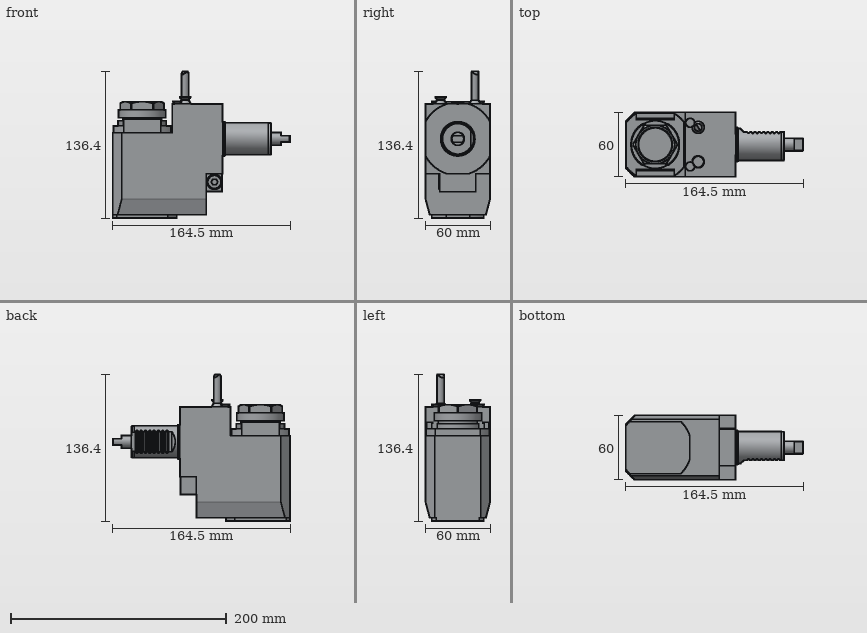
import cadquery as cq
import math


body_width = 60.0
half_width = body_width / 2
foot_height = 3.0
slant_top_z = 17.8
slant_inset = 4.0
deck_z = 79.3
head_top_z = 106.0
head_start_x = 55.1
head_end_x = 101.7
boss_thickness = 0.5
boss_end_x = head_end_x + boss_thickness
lower_end_x = 86.9
head_bottom_z = 41.1
corner_chamfer = 8.5

spindle_x = 27.5
corner_radius = 33.9
foot_end_x = 59.5
foot_half_width = 24.2
flange_half_length = 26.6
flange_half_width = 29.1
flange_height = 6.3
flange_top_z = deck_z + flange_height
rail_half_length = 17.8
rail_top_z = 91.6
rail_inner_y = 23.0
rail_lip_height = 0.8
rail_undercut = 1.3
disc_radius = 22.5
disc_half_width = 19.2
disc_top_z = 90.5
neck_radius = 18.3
collar_radius = 22.0
collar_bottom_z = 93.0
collar_top_z = 100.3
nut_top_z = 107.9
nut_across_flats = 35.9
nut_bevel_height = 1.5
nut_corner_radius = 20.4
bore_radius = 15.5
bore_lip = 0.5
bore_depth = 5.0

shank_z = 73.5
shank_radius = 15.0
shank_flange_radius = 16.0
shank_flange_end_x = 104.3
shank_flange_chamfer = 0.7
shank_end_x = 147.0
shank_nose_length = 2.8
shank_nose_step = 0.2
shank_nose_chamfer = 0.7
rack_flat_y = 11.8
rack_ramp_start_x = 106.5
rack_flat_start_x = 109.5
tooth_count = 8
first_tooth_x = 114.0
last_tooth_x = 142.0
tooth_pitch = (last_tooth_x - first_tooth_x) / (tooth_count - 1)
tooth_depth = 1.5
tooth_half_width = 1.5

tang_radius = 6.1
tang_shoulder_x = 156.3
tang_end_x = 164.5
tang_thickness = 6.1
tang_chamfer = 0.7

block_half_width = 16.8
block_bottom_z = 24.7
screw_x = 94.5
screw_z = 33.5
screw_radius = 6.9
screw_height = 1.0
screw_chamfer = 0.8
socket_across_corners = 6.1
socket_depth = 2.5

fitting_x = 67.3
fitting_y = 16.0
fitting_base_radius = 5.6
fitting_neck_radius = 3.5
fitting_base_top_z = 109.4
plug_cone_start_z = 110.0
plug_radius = 5.1
plug_top_z = 112.5
rim_height = 0.5
pin_top_z = 136.4
pin_roof_drop = 3.3
pin_ridge_angle = -57
small_screw_x = 59.9
small_screw_y = 20.2
small_screw_foot_radius = 2.5
small_screw_radius = 4.1
small_screw_top_z = 108.4


def box(x_range, y_range, z_range):
    """Axis-aligned box between the given (low, high) limits."""
    limits = (x_range, y_range, z_range)
    sizes = [high - low for low, high in limits]
    corner = tuple(low for low, high in limits)
    return cq.Workplane("XY").box(*sizes, centered=False).translate(corner)


def cylinder_z(x, y, radius, z_low, z_high):
    """Vertical cylinder."""
    return cq.Workplane("XY", origin=(x, y, z_low)).circle(radius).extrude(z_high - z_low)


def turned_z(x, y, profile):
    """Vertical turned part whose profile is a list of (radius, z), closed onto its axis."""
    points = [(0, profile[0][1]), *profile, (0, profile[-1][1])]
    outline = cq.Workplane("XZ").polyline(points).close()
    return outline.revolve(360, (0, 0, 0), (0, 1, 0)).translate((x, y, 0))


def turned_x(profile):
    """Turned part on the shank axis whose profile is a list of (x, radius)."""
    points = [(profile[0][0], 0), *profile, (profile[-1][0], 0)]
    outline = cq.Workplane("XZ").polyline(points).close()
    return outline.revolve(360, (0, 0, 0), (1, 0, 0)).translate((0, 0, shank_z))


def make_housing():
    """L-shaped block, narrowed towards the bottom, with bevelled outer corners."""
    section = [
        (half_width - slant_inset, foot_height),
        (half_width, slant_top_z),
        (half_width, deck_z),
        (-half_width, deck_z),
        (-half_width, slant_top_z),
        (-half_width + slant_inset, foot_height),
    ]
    lower = cq.Workplane("YZ").polyline(section).close().extrude(lower_end_x)
    plan = (
        cq.Workplane("XY")
        .rect(2 * lower_end_x, body_width)
        .extrude(deck_z)
        .edges("|Z")
        .chamfer(corner_chamfer)
        .translate((lower_end_x, 0, 0))
    )
    square_end = box((lower_end_x / 2, lower_end_x), (-half_width, half_width), (0, deck_z))
    lower = lower.intersect(plan.union(square_end))
    head = box(
        (head_start_x, head_end_x), (-half_width, half_width), (head_bottom_z, head_top_z)
    )
    return lower.union(head)


def make_shank_boss():
    """Thin round boss on the head's end face, trimmed to the outline of that face."""
    disc = (
        cq.Workplane("YZ", origin=(head_end_x, 0, shank_z))
        .circle(corner_radius)
        .extrude(boss_thickness)
    )
    outline = box(
        (head_end_x, boss_end_x), (-half_width, half_width), (head_bottom_z, head_top_z)
    )
    return disc.intersect(outline)


def make_foot():
    """Shallow pad with round corners under the housing."""
    pad = box((0, foot_end_x), (-foot_half_width, foot_half_width), (0, foot_height))
    return pad.intersect(cylinder_z(spindle_x, 0, corner_radius, 0, foot_height))


def make_flange():
    """Flange on the deck with two undercut rails, all trimmed by one corner circle."""
    x_range = (spindle_x - flange_half_length, spindle_x + flange_half_length)
    rail_x_range = (spindle_x - rail_half_length, spindle_x + rail_half_length)
    lip_bottom_z = rail_top_z - rail_lip_height
    rail_y_range = (rail_inner_y + rail_undercut, flange_half_width)
    lip_y_range = (rail_inner_y, flange_half_width)
    rail = box(rail_x_range, rail_y_range, (deck_z, lip_bottom_z))
    rail = rail.union(box(rail_x_range, lip_y_range, (lip_bottom_z, rail_top_z)))
    flange = box(x_range, (-flange_half_width, flange_half_width), (deck_z, flange_top_z))
    flange = flange.union(rail).union(rail.mirror("XZ"))
    return flange.intersect(cylinder_z(spindle_x, 0, corner_radius, deck_z, rail_top_z))


def make_spindle_nut():
    """Flatted disc, neck, round collar and bevelled hexagon nut with a blind bore."""
    disc = cylinder_z(spindle_x, 0, disc_radius, flange_top_z, disc_top_z)
    disc = disc.intersect(
        box(
            (spindle_x - disc_radius, spindle_x + disc_radius),
            (-disc_half_width, disc_half_width),
            (flange_top_z, disc_top_z),
        )
    )
    neck = cylinder_z(spindle_x, 0, neck_radius, disc_top_z, collar_bottom_z)
    collar = cylinder_z(spindle_x, 0, collar_radius, collar_bottom_z, collar_top_z)
    across_corners = nut_across_flats / math.cos(math.radians(30))
    nut = (
        cq.Workplane("XY", origin=(spindle_x, 0, collar_top_z))
        .polygon(6, across_corners)
        .extrude(nut_top_z - collar_top_z)
    )
    bevel = [
        (nut_corner_radius, collar_top_z),
        (nut_corner_radius, nut_top_z - nut_bevel_height),
        (nut_across_flats / 2, nut_top_z),
    ]
    nut = nut.intersect(turned_z(spindle_x, 0, bevel))
    bore = [
        (bore_radius, nut_top_z - bore_depth),
        (bore_radius, nut_top_z - bore_lip),
        (bore_radius + bore_lip, nut_top_z),
    ]
    nut = nut.cut(turned_z(spindle_x, 0, bore))
    return disc.union(neck).union(collar).union(nut)


def make_shank():
    """Round shank with a flange, a toothed flat on the +Y side and a drive tang."""
    nose_radius = shank_radius - shank_nose_step
    nose_start_x = shank_end_x - shank_nose_length
    shank = turned_x([
        (boss_end_x, shank_flange_radius),
        (shank_flange_end_x - shank_flange_chamfer, shank_flange_radius),
        (shank_flange_end_x, shank_flange_radius - shank_flange_chamfer),
        (shank_flange_end_x, shank_radius),
        (nose_start_x, shank_radius),
        (nose_start_x, nose_radius),
        (shank_end_x - shank_nose_chamfer, nose_radius),
        (shank_end_x, nose_radius - shank_nose_chamfer),
    ])

    rack = [(rack_ramp_start_x, shank_radius), (rack_flat_start_x, rack_flat_y)]
    for index in range(tooth_count):
        valley_x = first_tooth_x + index * tooth_pitch
        rack.append((valley_x - tooth_half_width, rack_flat_y))
        rack.append((valley_x, rack_flat_y - tooth_depth))
        rack.append((valley_x + tooth_half_width, rack_flat_y))
    rack += [(shank_end_x, rack_flat_y), (shank_end_x, shank_radius)]
    rack_cut = (
        cq.Workplane("XY", origin=(0, 0, shank_z))
        .polyline(rack)
        .close()
        .extrude(shank_radius, both=True)
    )

    tang = turned_x([
        (shank_end_x, tang_radius),
        (tang_end_x - tang_chamfer, tang_radius),
        (tang_end_x, tang_radius - tang_chamfer),
    ])
    upper_flat = box(
        (tang_shoulder_x, tang_end_x),
        (-tang_radius, tang_radius),
        (shank_z + tang_thickness / 2, shank_z + tang_radius),
    )
    lower_flat = upper_flat.translate((0, 0, -tang_radius - tang_thickness / 2))
    return shank.cut(rack_cut).union(tang.cut(upper_flat).cut(lower_flat))


def make_clamp_block():
    """Block under the head with a socket-head screw on its -Y face."""
    block = box(
        (lower_end_x, head_end_x),
        (-block_half_width, block_half_width),
        (block_bottom_z, head_bottom_z),
    )
    screw = (
        cq.Workplane("XZ", origin=(screw_x, -block_half_width, screw_z))
        .circle(screw_radius)
        .extrude(screw_height)
        .faces("<Y")
        .chamfer(screw_chamfer)
    )
    socket = (
        cq.Workplane("XZ", origin=(screw_x, -block_half_width - screw_height, screw_z))
        .polygon(6, socket_across_corners)
        .extrude(-socket_depth)
    )
    return block.union(screw).cut(socket)


def make_pin():
    """Tall pin with a conical base and a roof-shaped tip."""
    pin = turned_z(fitting_x, fitting_y, [
        (fitting_base_radius, head_top_z),
        (fitting_neck_radius, fitting_base_top_z),
        (fitting_neck_radius, pin_top_z),
    ])
    half_span = fitting_base_radius
    eaves_drop = pin_roof_drop * half_span / fitting_neck_radius
    gable = [
        (-half_span, head_top_z),
        (half_span, head_top_z),
        (half_span, pin_top_z - eaves_drop),
        (0, pin_top_z),
        (-half_span, pin_top_z - eaves_drop),
    ]
    roof = (
        cq.Workplane("YZ")
        .polyline(gable)
        .close()
        .extrude(half_span, both=True)
        .rotate((0, 0, 0), (0, 0, 1), pin_ridge_angle)
        .translate((fitting_x, fitting_y, 0))
    )
    return pin.intersect(roof)


def make_plug():
    """Short plug with a conical base and a countersunk head."""
    return turned_z(fitting_x, -fitting_y, [
        (fitting_base_radius, head_top_z),
        (fitting_neck_radius, fitting_base_top_z),
        (fitting_neck_radius, plug_cone_start_z),
        (plug_radius, plug_top_z - rim_height),
        (plug_radius, plug_top_z),
    ])


def make_small_screw(side):
    """Countersunk screw head standing on the head; side is +1 or -1 along Y."""
    return turned_z(small_screw_x, side * small_screw_y, [
        (small_screw_foot_radius, head_top_z),
        (small_screw_radius, small_screw_top_z - rim_height),
        (small_screw_radius, small_screw_top_z),
    ])


result = make_housing()
features = [
    make_shank_boss(),
    make_foot(),
    make_flange(),
    make_spindle_nut(),
    make_shank(),
    make_clamp_block(),
    make_pin(),
    make_plug(),
    make_small_screw(1),
    make_small_screw(-1),
]
for feature in features:
    result = result.union(feature)